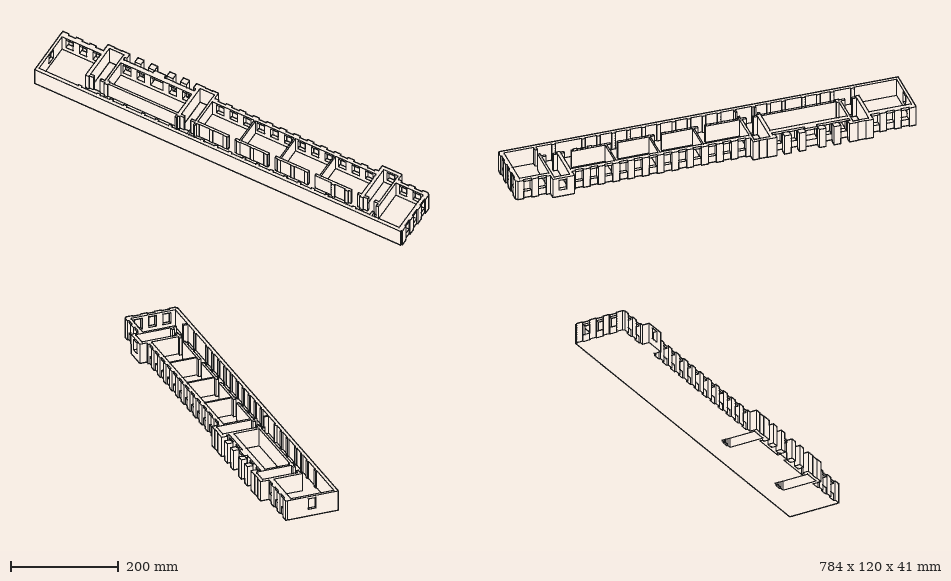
import cadquery as cq

LENGTH = 784.0
DEPTH = 120.0
HEIGHT = 41.0
FLOOR = 5.0

OUTER_WALL = 7.0
WEST_WALL = 5.5
PILASTER_PROUD = 3.0
PILASTER_WIDTH = 13.0
EAST_PILASTER_PROUD = 2.0
EAST_FACE = LENGTH - EAST_PILASTER_PROUD
BACK_PILASTER_FACE = 106.0
BACK_FACE = BACK_PILASTER_FACE - PILASTER_PROUD
ROOM_BACK_WALL = 6.0
THICK_BACK_WALL = 9.5
NORTH_EAST_CHAMFER = 4.0
SOUTH_EAST_CHAMFER = 2.0

CORRIDOR_BACK = 38.0
THIN_WALL = 5.0
ROOM_FRONT = CORRIDOR_BACK + THIN_WALL
DOOR_WIDTH = 14.0
RIB_WIDTH = 7.0
RIB_PROUD = 2.0
SHALLOW_RIB_PROUD = 1.0

STAIR_STARTS = [88.5, 282.0, 674.0]
STAIR_WIDTH = 42.0
STAIR_WEST_WALL = 7.0
STAIR_EAST_WALL = 5.0
SHAFT_WIDTH = STAIR_WIDTH - STAIR_WEST_WALL - STAIR_EAST_WALL
OPEN_SHAFTS = 2
SHAFT_BACK = DEPTH - OUTER_WALL
NICHE_DEPTH = 0.95
BAFFLE_THICKNESS = 3.0
BAFFLE_FRONT_END = 16.5
LOW_BAFFLE_FRONT_END = 12.0
BAFFLE_BACK_START = 30.5

COLUMN_WIDTH = 13.0
COLUMN_FRONT = 108.0
HALL_CENTRE = 208.0
INNER_COLUMN_OFFSET = 19.5
OUTER_COLUMN_OFFSET = 49.0
FREE_COLUMNS = (0, 2, 3)
FIXED_COLUMN = 1
CORNER_COLUMN_WIDTH = 5.0
BALCONY_WIDTH = 24.0
BALCONY_START = 194.5
BALCONY_BACK = 109.0

SIDE_PILASTERS = 3
WEST_PILASTER = 7.0
FIRST_ROOM_PILASTER = 327.0
LAST_ROOM_PILASTER = 674.0
ROOM_BAYS = 12
BAY = (LAST_ROOM_PILASTER - FIRST_ROOM_PILASTER) / ROOM_BAYS
EAST_PILASTER = LENGTH - 9.0
WINDOW_WIDTH = BAY - PILASTER_WIDTH
WINDOW_SILL = 14.0
WINDOW_HEAD = 36.0
WEST_WINDOW_Y = 52.5
FIRST_END_PILASTER = 9.5
LAST_END_PILASTER = 96.0
END_BAYS = 3
END_BAY = (LAST_END_PILASTER - FIRST_END_PILASTER) / END_BAYS

PARTITION = 3.0
ROOM_PITCH = 85.5
PARTITIONS = 3
FIRST_PARTITION = 414.0
FIRST_DOOR = 392.0
LAST_DOOR = 654.0
FIRST_ROOM_RIB = 354.0
LAST_ROOM_RIB = 619.5
ROOM_RIBS = 10
RIB_PITCH = (LAST_ROOM_RIB - FIRST_ROOM_RIB) / (ROOM_RIBS - 1)
LAST_PARTITION_BAY = 9
FIRST_DEEP_RIB = 10


def block(x0, x1, y0, y1, z0=0.0, z1=HEIGHT):
    """An upright box between two corners."""
    return cq.Workplane("XY").box(x1 - x0, y1 - y0, z1 - z0, centered=False).translate((x0, y0, z0))


def centred(x, width, y0, y1, z0=0.0, z1=HEIGHT):
    """A box centred on x."""
    return block(x - width / 2, x + width / 2, y0, y1, z0, z1)


def shaft_start(stair):
    return stair + STAIR_WEST_WALL


def shaft_end(stair):
    return shaft_start(stair) + SHAFT_WIDTH


def shaft_centre(stair):
    return shaft_start(stair) + SHAFT_WIDTH / 2


hall_stair, room_stair, end_stair = STAIR_STARTS
hall_start = hall_stair + STAIR_WIDTH
rooms_start = room_stair + STAIR_WIDTH
end_start = end_stair + STAIR_WIDTH
hall_back = BACK_FACE - THICK_BACK_WALL
room_back = BACK_FACE - ROOM_BACK_WALL
partitions = [FIRST_PARTITION + i * ROOM_PITCH for i in range(PARTITIONS)]
doors = [FIRST_DOOR + i * ROOM_PITCH for i in range(PARTITIONS)] + [LAST_DOOR]
column_offsets = [-OUTER_COLUMN_OFFSET, -INNER_COLUMN_OFFSET, INNER_COLUMN_OFFSET, OUTER_COLUMN_OFFSET]
column_centres = [HALL_CENTRE + offset for offset in column_offsets]
west_pilasters = [WEST_PILASTER + i * BAY for i in range(SIDE_PILASTERS)]
room_pilasters = [FIRST_ROOM_PILASTER + i * BAY for i in range(ROOM_BAYS + 1)]
east_pilasters = [EAST_PILASTER - i * BAY for i in range(SIDE_PILASTERS)]
end_pilasters = [FIRST_END_PILASTER + i * END_BAY for i in range(END_BAYS + 1)]


def corner_wedge(y, leg):
    """Wedge that chamfers the east corner at y; a negative leg runs toward the front."""
    outline = [(LENGTH, y), (LENGTH - abs(leg), y), (LENGTH, y + leg)]
    return cq.Workplane("XY").polyline(outline).close().extrude(HEIGHT)


def shell():
    """Outer block with its pilasters, stair wells and balcony, still without rooms."""
    body = block(0, EAST_FACE, 0, BACK_FACE)
    for x in west_pilasters + room_pilasters + east_pilasters:
        body = body.union(centred(x, PILASTER_WIDTH, BACK_FACE, BACK_PILASTER_FACE))
    for y in end_pilasters:
        body = body.union(block(EAST_FACE, LENGTH, y - PILASTER_WIDTH / 2, y + PILASTER_WIDTH / 2))
    corner_start = LENGTH - PILASTER_WIDTH
    body = body.union(block(corner_start, EAST_FACE, BACK_FACE, BACK_PILASTER_FACE))
    body = body.union(block(EAST_FACE, LENGTH, BACK_FACE - PILASTER_WIDTH, BACK_PILASTER_FACE))
    body = body.cut(corner_wedge(0, SOUTH_EAST_CHAMFER))
    body = body.cut(corner_wedge(BACK_PILASTER_FACE, -NORTH_EAST_CHAMFER))
    for stair in STAIR_STARTS:
        body = body.union(block(stair, stair + STAIR_WIDTH, room_back, DEPTH))
    corner_end = hall_start + CORNER_COLUMN_WIDTH
    body = body.union(block(hall_stair, corner_end, COLUMN_FRONT, DEPTH))
    body = body.union(block(room_stair - CORNER_COLUMN_WIDTH, rooms_start, COLUMN_FRONT, DEPTH))
    body = body.union(block(BALCONY_START, BALCONY_START + BALCONY_WIDTH, BACK_FACE, BALCONY_BACK))
    body = body.union(column(column_centres[FIXED_COLUMN]))
    return body


def room(x0, x1, back):
    """Space above the floor of one room."""
    return block(x0, x1, ROOM_FRONT, back, FLOOR)


def rooms():
    """Corridor, rooms and the doors between them."""
    cut = block(WEST_WALL, EAST_FACE - OUTER_WALL, OUTER_WALL, CORRIDOR_BACK, FLOOR)
    cut = cut.union(block(WEST_WALL, hall_stair, OUTER_WALL, hall_back, FLOOR))
    cut = cut.union(room(hall_start, room_stair, hall_back))
    starts = [rooms_start] + [x + PARTITION for x in partitions]
    for x0, x1 in zip(starts, partitions + [end_stair]):
        cut = cut.union(room(x0, x1, room_back))
    cut = cut.union(block(end_start, EAST_FACE - OUTER_WALL, OUTER_WALL, room_back, FLOOR))
    for x in doors:
        cut = cut.union(block(x, x + DOOR_WIDTH, CORRIDOR_BACK, ROOM_FRONT, FLOOR))
    return cut


def shafts():
    """Stair shafts with their doors; the open ones pass through the floor."""
    cut = cq.Workplane("XY")
    for i, stair in enumerate(STAIR_STARTS):
        is_open = i < OPEN_SHAFTS
        bottom = 0 if is_open else FLOOR
        centre = shaft_centre(stair)
        cut = cut.union(block(shaft_start(stair), shaft_end(stair), ROOM_FRONT, SHAFT_BACK, bottom))
        cut = cut.union(centred(centre, DOOR_WIDTH, CORRIDOR_BACK, ROOM_FRONT, FLOOR))
        if is_open:
            cut = cut.union(centred(centre, DOOR_WIDTH, ROOM_FRONT - THIN_WALL / 2, ROOM_FRONT))
            cut = cut.union(centred(centre, WINDOW_WIDTH, DEPTH - NICHE_DEPTH, DEPTH))
    return cut


def window(x, y0, y1, width=WINDOW_WIDTH):
    return centred(x, width, y0, y1, WINDOW_SILL, WINDOW_HEAD)


def end_window(x0, x1, y):
    half = WINDOW_WIDTH / 2
    return block(x0, x1, y - half, y + half, WINDOW_SILL, WINDOW_HEAD)


def windows():
    """Windows of every bay, of the hall, of the last stair well and of both end walls."""
    cut = cq.Workplane("XY")
    plain_bays = [x + BAY / 2 for x in west_pilasters + room_pilasters[:-1]]
    plain_bays += [x - BAY / 2 for x in east_pilasters[:-1]]
    for x in plain_bays:
        cut = cut.union(window(x, hall_back, BACK_FACE))
    half_column = COLUMN_WIDTH / 2
    gap_starts = [hall_start + CORNER_COLUMN_WIDTH] + [x + half_column for x in column_centres]
    gap_ends = [x - half_column for x in column_centres] + [room_stair - CORNER_COLUMN_WIDTH]
    for x0, x1 in zip(gap_starts, gap_ends):
        cut = cut.union(window((x0 + x1) / 2, hall_back, BALCONY_BACK, x1 - x0))
    cut = cut.union(window(shaft_centre(end_stair), SHAFT_BACK, DEPTH))
    for y in end_pilasters[:-1]:
        mid = y + END_BAY / 2
        cut = cut.union(end_window(EAST_FACE - OUTER_WALL, EAST_FACE, mid))
    return cut.union(end_window(0, WEST_WALL, WEST_WINDOW_Y))


def corridor_ribs():
    """Piers and ribs on both corridor walls."""
    front, front_top = OUTER_WALL, OUTER_WALL + RIB_PROUD
    ribs = cq.Workplane("XY")
    room_ribs = [FIRST_ROOM_RIB + i * RIB_PITCH for i in range(ROOM_RIBS)]
    for x in column_centres + room_ribs:
        ribs = ribs.union(centred(x, RIB_WIDTH, front, front_top, FLOOR))
    for i, x in enumerate(room_pilasters[:-1]):
        proud = RIB_PROUD if i >= FIRST_DEEP_RIB else SHALLOW_RIB_PROUD
        if i != LAST_PARTITION_BAY:
            ribs = ribs.union(centred(x, RIB_WIDTH, CORRIDOR_BACK - proud, CORRIDOR_BACK, FLOOR))
    hall_pier = hall_start + CORNER_COLUMN_WIDTH - RIB_WIDTH
    for x in STAIR_STARTS + [hall_pier]:
        back_end = ROOM_FRONT + RIB_PROUD if x == hall_pier else ROOM_FRONT
        ribs = ribs.union(block(x, x + RIB_WIDTH, front, front_top, FLOOR))
        ribs = ribs.union(block(x, x + RIB_WIDTH, CORRIDOR_BACK - RIB_PROUD, back_end, FLOOR))
    return ribs


def baffles():
    """Narrow walls across the corridor beside the second and third stair wells."""
    thin = BAFFLE_THICKNESS
    places = [
        (room_stair, room_stair + thin, LOW_BAFFLE_FRONT_END),
        (rooms_start - thin, rooms_start, BAFFLE_FRONT_END),
        (end_start - STAIR_EAST_WALL, end_start, BAFFLE_FRONT_END),
    ]
    walls = cq.Workplane("XY")
    for x0, x1, front_end in places:
        walls = walls.union(block(x0, x1, OUTER_WALL, front_end, FLOOR))
        walls = walls.union(block(x0, x1, BAFFLE_BACK_START, CORRIDOR_BACK, FLOOR))
    return walls


def column(x):
    """A square column behind the hall."""
    return centred(x, COLUMN_WIDTH, COLUMN_FRONT, DEPTH)


building = shell().cut(rooms()).cut(shafts()).cut(windows()).union(corridor_ribs()).union(baffles())
columns = [column(column_centres[i]) for i in FREE_COLUMNS]

result = cq.Compound.makeCompound([building.val(), *[c.val() for c in columns]])